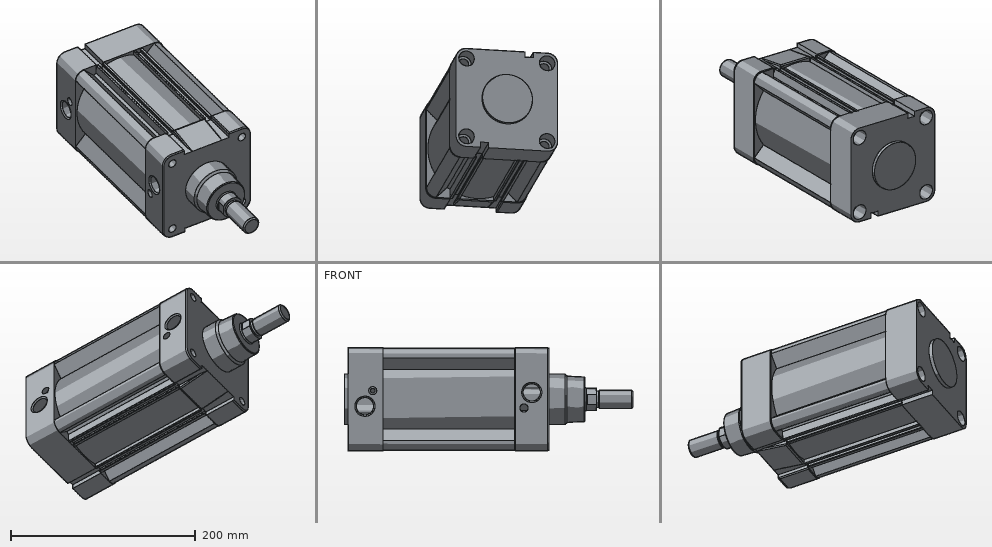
import cadquery as cq


TOTAL_LENGTH = 313.0
REAR_CAP_START = 4.0
REAR_CAP_END = 42.0
FRONT_CAP_START = 184.5
FRONT_CAP_END = 222.0
COLLAR_END = 241.5
NUT_END = 260.7
WIPER_END = 262.5
FLATS_START = 263.5
ROD_END = 273.2
NECK_END = 276.7

CAP_SIDE = 112.0
CAP_HALF = CAP_SIDE / 2
CAP_CORNER_RADIUS = 11.3
FRONT_EDGE_LENGTH = 2.0
FRONT_EDGE_DEPTH = 0.5
REAR_EDGE_CHAMFER = 1.0

BOLT_SPACING = 89.0
BOLT_HOLE_RADIUS = 4.7
BOLT_ENTRY_RADIUS = 5.5
COUNTERBORE_RADIUS = 8.5
COUNTERBORE_DEPTH = 18.8

BARREL_INSET = 0.5
BARREL_HALF = CAP_HALF - BARREL_INSET
TUBE_RADIUS = 53.8
LOBE_EDGE = 44.8
LOBE_REACH = 25.0

RAIL_INNER = 18.8
RAIL_OUTER = 29.5
SLOT_INNER = 21.3
SLOT_OUTER = 26.5
SLOT_WIDENING = 1.0
SLOT_LIP = 1.3
SLOT_DEPTH = 5.0
GROOVE_INNER = 20.0
GROOVE_OUTER = 29.0
BEVELLED_GROOVE_OUTER = 28.2
GROOVE_MOUTH = 1.3
REAR_GROOVE_DEPTH = 6.0
FRONT_GROOVE_DEPTH = 5.3
RAMP_SETBACK = 2.0
RAMP_START = FRONT_CAP_START + RAMP_SETBACK
RAMP_EDGE_CHAMFER = 1.3

BOSS_RADIUS = 27.5
COLLAR_CHAMFER = 2.5
NUT_REAR_RADIUS = 25.5
NUT_FRONT_RADIUS = 24.5
NUT_CHAMFER = 1.0
WIPER_RADIUS = 12.8
ROD_RADIUS = 12.2
FLAT_HALF_WIDTH = 11.0
NECK_RADIUS = 9.0
THREAD_RADIUS = 10.0
THREAD_CHAMFER = 1.5
NECK_CHAMFER = 1.0

REAR_PORT_X = 22.2
FRONT_PORT_X = 203.0
PORT_OFFSET = 7.5
PORT_RADIUS = 9.5
PORT_CHAMFER = 1.5
REAR_SCREW_X = 30.7
FRONT_SCREW_X = 194.7
SCREW_OFFSET = 9.5
SCREW_RADIUS = 4.5
SCREW_TIP_RADIUS = 2.5
SCREW_SEAT_DEPTH = 6.3
CUSHION_RADIUS = 15.0


def axial_cylinder(radius, start, end):
    return cq.Workplane("YZ", origin=(start, 0, 0)).circle(radius).extrude(end - start)


def axial_prism(points, start, end):
    return cq.Workplane("YZ", origin=(start, 0, 0)).polyline(points).close().extrude(end - start)


def axial_box(y_min, y_max, z_min, z_max, start, end):
    return axial_prism([(y_min, z_min), (y_max, z_min), (y_max, z_max), (y_min, z_max)], start, end)


def rounded_bar(side, corner_radius, start, end):
    bar = cq.Workplane("YZ", origin=(start, 0, 0)).rect(side, side).extrude(end - start)
    return bar.edges("|X").fillet(corner_radius)


def cross_drill(x, z, radius, y_end):
    """Cylinder along Y from the -Y face to y_end."""
    plane = cq.Workplane("XZ", origin=(x, -CAP_HALF, z))
    return plane.circle(radius).extrude(-(y_end + CAP_HALF))


def half_turn(shape):
    return shape.rotate((0, 0, 0), (1, 0, 0), 180)


def barrel():
    """Tube with four corner lobes under 45 degree flanks, and sensor rails above and below."""
    start, end = REAR_CAP_END, FRONT_CAP_START
    body = axial_cylinder(TUBE_RADIUS, start, end)
    lobes = rounded_bar(2 * BARREL_HALF, CAP_CORNER_RADIUS - BARREL_INSET, start, end)
    inner = LOBE_EDGE - LOBE_REACH
    root = BARREL_HALF - LOBE_REACH
    for turn in range(4):
        corner = axial_prism(
            [(LOBE_EDGE, BARREL_HALF), (BARREL_HALF, BARREL_HALF), (BARREL_HALF, LOBE_EDGE),
             (root, inner), (inner, root)],
            start, end,
        ).rotate((0, 0, 0), (1, 0, 0), 90 * turn)
        body = body.union(corner.intersect(lobes))
    for side in (1, -1):
        rail = axial_box(side * RAIL_INNER, side * RAIL_OUTER, 0, BARREL_HALF, start, end)
        floor = BARREL_HALF - SLOT_DEPTH
        mouth = axial_box(side * SLOT_INNER, side * SLOT_OUTER, floor, BARREL_HALF, start, end)
        chamber = axial_box(
            side * (SLOT_INNER - SLOT_WIDENING), side * (SLOT_OUTER + SLOT_WIDENING),
            floor, BARREL_HALF - SLOT_LIP, start, end,
        )
        slot = mouth.union(chamber)
        body = body.union(rail).union(half_turn(rail)).cut(slot).cut(half_turn(slot))
    return body


def plain_groove(depth, start, end):
    """Square groove in the top face, on the -Y side."""
    return axial_box(-GROOVE_OUTER, -GROOVE_INNER, CAP_HALF - depth, CAP_HALF, start, end)


def bevelled_groove(depth, start, end):
    """Groove in the top face, on the +Y side, with a bevelled outer lip."""
    floor = CAP_HALF - depth
    section = [
        (GROOVE_INNER, CAP_HALF),
        (BEVELLED_GROOVE_OUTER + GROOVE_MOUTH, CAP_HALF),
        (BEVELLED_GROOVE_OUTER, CAP_HALF - GROOVE_MOUTH),
        (BEVELLED_GROOVE_OUTER, floor),
        (GROOVE_INNER, floor),
    ]
    return axial_prism(section, start, end)


def rear_cap():
    cap = rounded_bar(CAP_SIDE, CAP_CORNER_RADIUS, REAR_CAP_START, REAR_CAP_END)
    groove = plain_groove(REAR_GROOVE_DEPTH, REAR_CAP_START, REAR_CAP_END)
    return cap.cut(groove).cut(half_turn(groove))


def ramp_panel():
    """Middle panel between the grooves, falling to the groove floor at the front, with bevelled sides."""
    floor = CAP_HALF - FRONT_GROOVE_DEPTH
    panel = (
        cq.Workplane("XZ", origin=(0, GROOVE_INNER, 0))
        .moveTo(FRONT_CAP_START, 0)
        .lineTo(FRONT_CAP_START, CAP_HALF - REAR_EDGE_CHAMFER)
        .lineTo(RAMP_START, CAP_HALF)
        .lineTo(FRONT_CAP_END, floor)
        .lineTo(FRONT_CAP_END, 0)
        .close()
        .extrude(2 * GROOVE_INNER)
    )
    slope = cq.selectors.NearestToPointSelector(
        ((RAMP_START + FRONT_CAP_END) / 2, 0, (CAP_HALF + floor) / 2)
    )
    return panel.faces(slope).edges("not |Y").chamfer(RAMP_EDGE_CHAMFER)


def front_cap():
    cap = rounded_bar(CAP_SIDE, CAP_CORNER_RADIUS, FRONT_CAP_START, FRONT_CAP_END)
    cap = cap.faces(">X").chamfer(FRONT_EDGE_LENGTH, FRONT_EDGE_DEPTH)
    cap = cap.faces("<X").chamfer(REAR_EDGE_CHAMFER)
    for make_groove in (plain_groove, bevelled_groove):
        groove = make_groove(FRONT_GROOVE_DEPTH, FRONT_CAP_START, FRONT_CAP_END)
        cap = cap.cut(groove).cut(half_turn(groove))
    recess = axial_box(
        -GROOVE_INNER, GROOVE_INNER, CAP_HALF - FRONT_GROOVE_DEPTH, CAP_HALF,
        FRONT_CAP_START, FRONT_CAP_END,
    )
    panel = ramp_panel()
    return cap.cut(recess).cut(half_turn(recess)).union(panel).union(half_turn(panel))


def nose_and_rod():
    """Collar, tapered nut, wiper, rod, neck and thread as one turned body, then the wrench flats."""
    profile = [
        (FRONT_CAP_END, 0),
        (FRONT_CAP_END, BOSS_RADIUS),
        (COLLAR_END - COLLAR_CHAMFER, BOSS_RADIUS),
        (COLLAR_END, NUT_REAR_RADIUS),
        (NUT_END - NUT_CHAMFER, NUT_FRONT_RADIUS),
        (NUT_END, NUT_FRONT_RADIUS - NUT_CHAMFER),
        (NUT_END, WIPER_RADIUS),
        (WIPER_END, ROD_RADIUS),
        (ROD_END, ROD_RADIUS),
        (ROD_END, NECK_RADIUS),
        (NECK_END - NECK_CHAMFER, NECK_RADIUS),
        (NECK_END, THREAD_RADIUS),
        (TOTAL_LENGTH - THREAD_CHAMFER, THREAD_RADIUS),
        (TOTAL_LENGTH, THREAD_RADIUS - THREAD_CHAMFER),
        (TOTAL_LENGTH, 0),
    ]
    nose = cq.Workplane("XY").polyline(profile).close().revolve(360, (0, 0, 0), (1, 0, 0))
    for side in (1, -1):
        flat = axial_box(
            side * FLAT_HALF_WIDTH, side * ROD_RADIUS, -ROD_RADIUS, ROD_RADIUS, FLATS_START, ROD_END
        )
        nose = nose.cut(flat)
    return nose


def port_chamfer(x, z):
    """Conical countersink at a port mouth."""
    return (
        cq.Workplane("XZ", origin=(x, -CAP_HALF, z))
        .circle(PORT_RADIUS + PORT_CHAMFER)
        .workplane(offset=-PORT_CHAMFER)
        .circle(PORT_RADIUS)
        .loft()
    )


def drill_to_cushion(x, z, radius):
    """Hole that ends on the far wall of the round cushion chamber."""
    chamber = axial_cylinder(CUSHION_RADIUS, REAR_CAP_START, REAR_CAP_END)
    through = cross_drill(x, z, radius, CUSHION_RADIUS)
    return cross_drill(x, z, radius, 0).union(through.intersect(chamber))


def drill_to_rod(x, z, radius):
    """Hole to the axis plane that leaves the rod standing."""
    return cross_drill(x, z, radius, 0).cut(axial_cylinder(ROD_RADIUS, FRONT_CAP_START, FRONT_CAP_END))


def side_holes():
    return [
        drill_to_cushion(REAR_PORT_X, -PORT_OFFSET, PORT_RADIUS),
        port_chamfer(REAR_PORT_X, -PORT_OFFSET),
        drill_to_cushion(REAR_SCREW_X, SCREW_OFFSET, SCREW_TIP_RADIUS),
        cross_drill(REAR_SCREW_X, SCREW_OFFSET, SCREW_RADIUS, SCREW_SEAT_DEPTH - CAP_HALF),
        drill_to_rod(FRONT_PORT_X, PORT_OFFSET, PORT_RADIUS),
        port_chamfer(FRONT_PORT_X, PORT_OFFSET),
        drill_to_rod(FRONT_SCREW_X, -SCREW_OFFSET, SCREW_RADIUS),
    ]


def bolt_holes(radius, start, end):
    plane = cq.Workplane("YZ", origin=(start, 0, 0))
    centres = plane.rect(BOLT_SPACING, BOLT_SPACING, forConstruction=True).vertices()
    return centres.circle(radius).extrude(end - start)


result = (
    axial_cylinder(BOSS_RADIUS, 0, REAR_CAP_START)
    .union(rear_cap())
    .union(barrel())
    .union(front_cap())
    .union(nose_and_rod())
)
for hole in side_holes():
    result = result.cut(hole)
counterbore_end = REAR_CAP_START + COUNTERBORE_DEPTH
result = result.cut(bolt_holes(BOLT_HOLE_RADIUS, REAR_CAP_START, FRONT_CAP_END))
result = result.cut(bolt_holes(BOLT_ENTRY_RADIUS, REAR_CAP_START, REAR_CAP_END))
result = result.cut(bolt_holes(COUNTERBORE_RADIUS, REAR_CAP_START, counterbore_end))